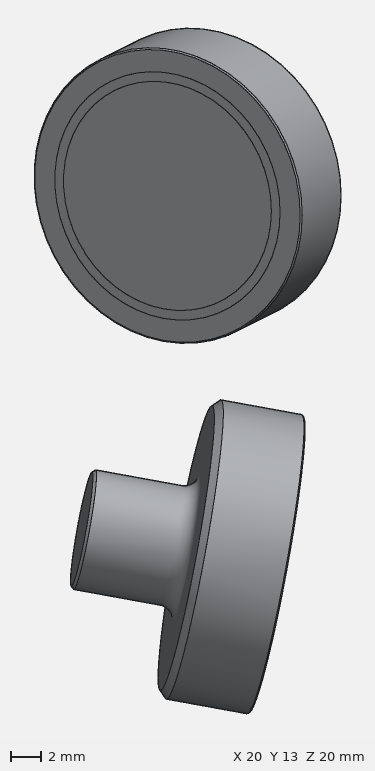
import cadquery as cq

housing_diameter = 20.0
head_thickness = 6.0
total_length = 13.0
stem_diameter = 8.0

face_chamfer = 0.1
shoulder_chamfer = 0.5
stem_chamfer = 0.2
root_fillet = 1.0

magnet_diameter = 15.5
ring_diameter = 16.8
magnet_depth = 4.0

face_y = -head_thickness
shoulder_y = 0.0
stem_end_y = face_y + total_length


def disc(diameter, length):
    """Cylinder from the magnetic face, extending toward +Y."""
    plane = cq.Workplane("XZ", origin=(0, face_y, 0))
    return plane.circle(diameter / 2).extrude(-length)


def make_housing():
    """Turned head and stem, with a pocket for the magnet and ring."""
    head_radius = housing_diameter / 2
    stem_radius = stem_diameter / 2
    fillet_middle = root_fillet * (1 - 0.5 ** 0.5)
    profile = (
        cq.Workplane("XY")
        .moveTo(0, face_y)
        .lineTo(head_radius - face_chamfer, face_y)
        .lineTo(head_radius, face_y + face_chamfer)
        .lineTo(head_radius, shoulder_y - shoulder_chamfer)
        .lineTo(head_radius - shoulder_chamfer, shoulder_y)
        .lineTo(stem_radius + root_fillet, shoulder_y)
        .threePointArc(
            (stem_radius + fillet_middle, shoulder_y + fillet_middle),
            (stem_radius, shoulder_y + root_fillet),
        )
        .lineTo(stem_radius, stem_end_y - stem_chamfer)
        .lineTo(stem_radius - stem_chamfer, stem_end_y)
        .lineTo(0, stem_end_y)
        .close()
    )
    body = profile.revolve(360, (0, 0, 0), (0, 1, 0))
    return body.cut(disc(ring_diameter, magnet_depth))


def make_magnet():
    """Solid disc at the center of the face."""
    return disc(magnet_diameter, magnet_depth)


def make_spacer_ring():
    """Ring filling the gap between the magnet and the housing."""
    return disc(ring_diameter, magnet_depth).cut(disc(magnet_diameter, magnet_depth))


housing = make_housing()
magnet = make_magnet()
spacer_ring = make_spacer_ring()

result = cq.Compound.makeCompound([housing.val(), magnet.val(), spacer_ring.val()])